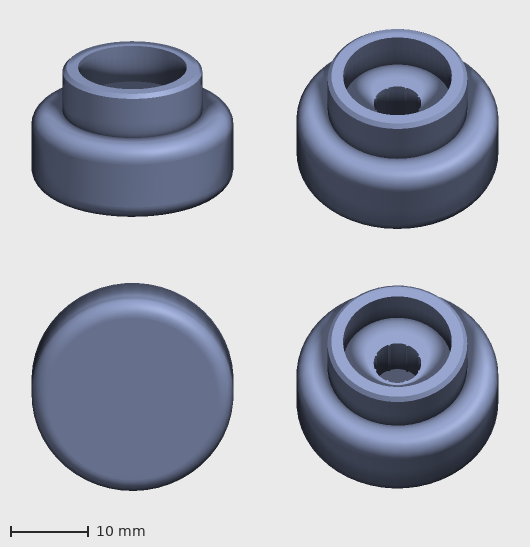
import cadquery as cq

body_diameter = 26.0
body_height = 10.0
body_fillet = 2.0
hub_diameter = 18.0
hub_height = 5.98
hub_chamfer = 0.5
total_height = body_height + hub_height

recess_diameter = 14.0
recess_depth = 5.0
recess_floor = total_height - recess_depth

hole_diameter = 6.1
hole_depth = 6.0
rib_count = 8
rib_radius = 0.15
hole_bottom = recess_floor - hole_depth


def cylinder(diameter, height, base_z):
    """Solid cylinder on the Z axis, standing on base_z."""
    return cq.Workplane("XY").workplane(offset=base_z).circle(diameter / 2).extrude(height)


def make_body():
    """Disc with both outer edges rounded."""
    return cylinder(body_diameter, body_height, 0).edges().fillet(body_fillet)


def make_hub():
    """Raised hub with a chamfered top rim."""
    return cylinder(hub_diameter, hub_height, body_height).faces(">Z").edges().chamfer(hub_chamfer)


def make_hole_cutter():
    """Hole volume, notched where the half-round ribs stay on the wall."""
    ribs = (
        cq.Workplane("XY")
        .workplane(offset=hole_bottom)
        .polarArray(hole_diameter / 2, 0, 360, rib_count)
        .circle(rib_radius)
        .extrude(hole_depth)
    )
    return cylinder(hole_diameter, hole_depth, hole_bottom).cut(ribs)


result = (
    make_body()
    .union(make_hub())
    .cut(cylinder(recess_diameter, recess_depth, recess_floor))
    .cut(make_hole_cutter())
)